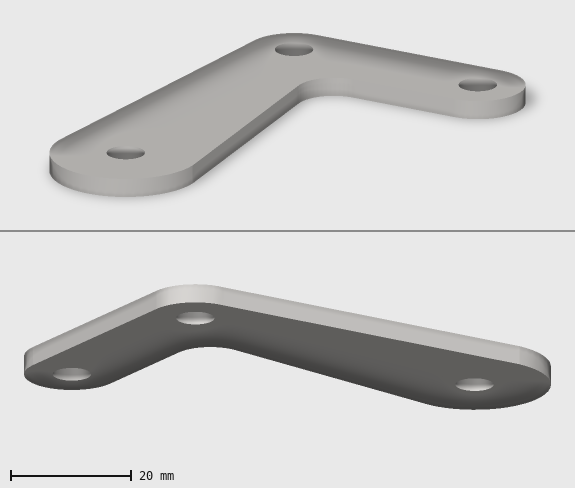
import cadquery as cq

thickness = 3.2
hole_diameter = 6.4
arm_radius = 7.9
foot_radius = 12.7
arm_length = 34.9
leg_length = 57.2
inner_fillet = 6.4

corner_center = (0, 0)
arm_center = (arm_length, 0)
foot_center = (0, -leg_length)

leg = (
    cq.Workplane("XY")
    .moveTo(-arm_radius, 0)
    .threePointArc((0, arm_radius), (arm_radius, 0))
    .lineTo(foot_radius, -leg_length)
    .threePointArc((0, -leg_length - foot_radius), (-foot_radius, -leg_length))
    .close()
    .extrude(thickness)
)

arm = (
    cq.Workplane("XY")
    .center(arm_length / 2, 0)
    .slot2D(arm_length + 2 * arm_radius, 2 * arm_radius)
    .extrude(thickness)
)

side_slope = (foot_radius - arm_radius) / leg_length
inner_corner_x = arm_radius + arm_radius * side_slope
inner_corner = (inner_corner_x, -arm_radius, thickness / 2)
plate = (
    leg.union(arm)
    .edges("|Z")
    .edges(cq.selectors.NearestToPointSelector(inner_corner))
    .fillet(inner_fillet)
)

result = (
    plate.faces(">Z")
    .workplane(origin=(0, 0, thickness))
    .pushPoints([corner_center, arm_center, foot_center])
    .hole(hole_diameter)
)